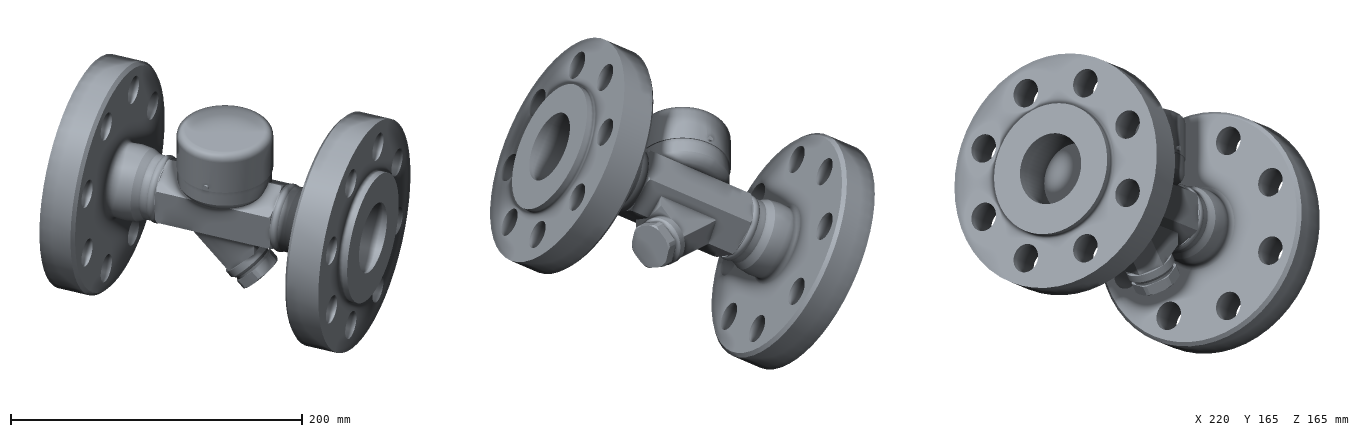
import cadquery as cq
import math


TOTAL_LENGTH = 220.0
FLANGE_DIAMETER = 165.0
FLANGE_THICKNESS = 25.5
FLANGE_CHAMFER = 2.5
RAISED_FACE_DIAMETER = 92.2
RAISED_FACE_HEIGHT = 6.4
RAISED_FACE_FILLET = 1.3
BOLT_COUNT = 8
BOLT_HOLE_DIAMETER = 20.0
BOLT_CIRCLE_DIAMETER = 127.0

BORE_DIAMETER = 50.0
BORE_DEPTH = 30.8

NECK_ROOT_RADIUS = 29.3
NECK_RADIUS = 26.5
NECK_BARREL_RADIUS = 26.8
NECK_SHOULDER_RADIUS = 25.7
PIPE_DIAMETER = 46.0
BEAD_RADIUS = 24.0
NECK_ROOT_LENGTH = 3.5
SHOULDER_STATION = 59.5
PIPE_OUTER_STATION = 54.0
PIPE_INNER_STATION = 48.6
BEAD_END_STATION = 43.3

BODY_LENGTH = 85.4
BODY_ACROSS_FLATS = 44.5
BODY_END_CHAMFER = 1.0

CAP_DIAMETER = 66.5
CAP_TOP = 61.5
CAP_STEP = 31.2
CAP_TOP_FILLET = 5.5
SEAT_DIAMETER = 65.0
SEAT_FILLET_START = 20.0
SEAT_BOTTOM = 13.5
SEAT_BOTTOM_RADIUS = 21.0
PIN_DIAMETER = 3.5
PIN_HEIGHT = 34.3
PIN_SPAN = 69.7

BRANCH_SLANT = math.radians(45)
BRANCH_OFFSET = 17.0
BRANCH_WIDTH = 30.8
BRANCH_KEEL_RADIUS = 16.5
BRANCH_KEEL_RISE = 8.8
BRANCH_TOP_LENGTH = 26.5
BRANCH_END = 37.6
BRANCH_X_LIMIT = 28.0
COLLAR_DIAMETER = 34.0
COLLAR_RIM = 43.0
COLLAR_END = 45.3
PLUG_NECK_DIAMETER = 29.0
NUT_START = 47.0
NUT_END = 54.8
NUT_ACROSS_FLATS = 30.0
NUT_DIAMETER = 33.0
NUT_CHAMFER = 1.0
NUT_CHAMFER_HEIGHT = 0.9

HALF_LENGTH = TOTAL_LENGTH / 2
HALF_BODY = BODY_LENGTH / 2
FLANGE_FRONT = HALF_LENGTH - RAISED_FACE_HEIGHT
FLANGE_BACK = FLANGE_FRONT - FLANGE_THICKNESS
DIAGONAL = math.sqrt(0.5)
BRANCH_AXIS = cq.Vector(math.cos(BRANCH_SLANT), 0, -math.sin(BRANCH_SLANT))
PLUG_SIDE = cq.selectors.DirectionMinMaxSelector(BRANCH_AXIS)


def hexagon_diameter(across_flats):
    """Corner-to-corner diameter of a regular hexagon."""
    return across_flats / math.cos(math.radians(30))


def make_pipe_end():
    """Flange and neck at the +X end, turned about X, with bolt holes and bore."""
    pipe_radius = PIPE_DIAMETER / 2
    flange_radius = FLANGE_DIAMETER / 2
    face_radius = RAISED_FACE_DIAMETER / 2
    neck_root = FLANGE_BACK - NECK_ROOT_LENGTH
    fillet_start = (FLANGE_FRONT, face_radius + RAISED_FACE_FILLET)
    fillet_end = (FLANGE_FRONT + RAISED_FACE_FILLET, face_radius)
    fillet_centre = (fillet_end[0], fillet_start[1])
    fillet_middle = (
        fillet_centre[0] - RAISED_FACE_FILLET * DIAGONAL,
        fillet_centre[1] - RAISED_FACE_FILLET * DIAGONAL,
    )
    root_middle = (
        FLANGE_BACK - NECK_ROOT_LENGTH * (1 - DIAGONAL),
        NECK_RADIUS + (NECK_ROOT_RADIUS - NECK_RADIUS) * (1 - DIAGONAL),
    )
    profile = (
        cq.Workplane("XY")
        .moveTo(HALF_BODY, 0)
        .lineTo(HALF_BODY, pipe_radius)
        .lineTo(BEAD_END_STATION, pipe_radius)
        .threePointArc(
            ((BEAD_END_STATION + PIPE_INNER_STATION) / 2, BEAD_RADIUS),
            (PIPE_INNER_STATION, pipe_radius),
        )
        .lineTo(PIPE_OUTER_STATION, pipe_radius)
        .lineTo(SHOULDER_STATION, NECK_SHOULDER_RADIUS)
        .threePointArc(
            ((SHOULDER_STATION + neck_root) / 2, NECK_BARREL_RADIUS),
            (neck_root, NECK_RADIUS),
        )
        .threePointArc(root_middle, (FLANGE_BACK, NECK_ROOT_RADIUS))
        .lineTo(FLANGE_BACK, flange_radius - FLANGE_CHAMFER)
        .lineTo(FLANGE_BACK + FLANGE_CHAMFER, flange_radius)
        .lineTo(FLANGE_FRONT, flange_radius)
        .lineTo(*fillet_start)
        .threePointArc(fillet_middle, fillet_end)
        .lineTo(HALF_LENGTH, face_radius)
        .lineTo(HALF_LENGTH, 0)
        .close()
    )
    turned = profile.revolve(360, (0, 0, 0), (1, 0, 0))
    bolt_holes = (
        cq.Workplane("YZ", origin=(FLANGE_BACK, 0, 0))
        .polarArray(BOLT_CIRCLE_DIAMETER / 2, 180 / BOLT_COUNT, 360, BOLT_COUNT)
        .circle(BOLT_HOLE_DIAMETER / 2)
        .extrude(FLANGE_THICKNESS)
    )
    bore = (
        cq.Workplane("YZ", origin=(HALF_LENGTH - BORE_DEPTH, 0, 0))
        .circle(BORE_DIAMETER / 2)
        .extrude(BORE_DEPTH)
    )
    return turned.cut(bolt_holes).cut(bore)


def make_body():
    """Hexagonal bar along X with turned chamfers on its end corners."""
    corner_diameter = hexagon_diameter(BODY_ACROSS_FLATS)
    bar_plane = cq.Workplane("YZ", origin=(-HALF_BODY, 0, 0))
    bar = bar_plane.transformed(rotate=(0, 0, 90)).polygon(6, corner_diameter).extrude(BODY_LENGTH)
    envelope = bar_plane.circle(corner_diameter / 2).extrude(BODY_LENGTH).edges().chamfer(BODY_END_CHAMFER)
    return bar.intersect(envelope)


def make_cap():
    """Round cap on its narrower seat, with a small pin on each side."""
    seat_radius = SEAT_DIAMETER / 2
    rise = SEAT_FILLET_START - SEAT_BOTTOM
    seat_middle = (
        SEAT_BOTTOM_RADIUS + (seat_radius - SEAT_BOTTOM_RADIUS) * DIAGONAL,
        SEAT_FILLET_START - rise * DIAGONAL,
    )
    seat = (
        cq.Workplane("XZ")
        .moveTo(0, SEAT_BOTTOM)
        .lineTo(SEAT_BOTTOM_RADIUS, SEAT_BOTTOM)
        .threePointArc(seat_middle, (seat_radius, SEAT_FILLET_START))
        .lineTo(seat_radius, CAP_STEP)
        .lineTo(0, CAP_STEP)
        .close()
        .revolve(360, (0, 0, 0), (0, 1, 0))
    )
    cover = (
        cq.Workplane("XY", origin=(0, 0, CAP_STEP))
        .circle(CAP_DIAMETER / 2)
        .extrude(CAP_TOP - CAP_STEP)
        .faces(">Z")
        .edges()
        .fillet(CAP_TOP_FILLET)
    )
    pins = (
        cq.Workplane("XZ", origin=(0, 0, PIN_HEIGHT))
        .circle(PIN_DIAMETER / 2)
        .extrude(PIN_SPAN / 2, both=True)
    )
    return seat.union(cover).union(pins)


def branch_plane(distance):
    """Plane across the branch axis; local x points up and to +X, local y along Y."""
    across = cq.Vector(math.sin(BRANCH_SLANT), 0, math.cos(BRANCH_SLANT))
    origin = BRANCH_AXIS * distance - across * BRANCH_OFFSET
    return cq.Workplane(cq.Plane(origin=origin, xDir=across, normal=BRANCH_AXIS))


def make_branch():
    """Keel-shaped strainer housing with its collar and hexagonal plug."""
    half_width = BRANCH_WIDTH / 2
    keel_edge = BRANCH_KEEL_RISE - BRANCH_KEEL_RADIUS
    housing = (
        branch_plane(0)
        .polyline(
            [
                (-BRANCH_KEEL_RADIUS, 0),
                (keel_edge, half_width),
                (BRANCH_TOP_LENGTH, half_width),
                (BRANCH_TOP_LENGTH, -half_width),
                (keel_edge, -half_width),
            ]
        )
        .close()
        .extrude(BRANCH_END)
    )
    limit = cq.Workplane("XY").box(TOTAL_LENGTH, BRANCH_WIDTH, TOTAL_LENGTH)
    limit = limit.translate((BRANCH_X_LIMIT - TOTAL_LENGTH / 2, 0, -TOTAL_LENGTH / 2))
    housing = housing.intersect(limit)

    collar = (
        branch_plane(BRANCH_END)
        .circle(COLLAR_DIAMETER / 2)
        .extrude(COLLAR_END - BRANCH_END)
        .faces(PLUG_SIDE)
        .edges()
        .chamfer(COLLAR_END - COLLAR_RIM)
    )
    return housing.union(collar).union(make_plug())


def make_plug():
    """Short round neck and a hexagon with rounded corners and a chamfered end."""
    nut_height = NUT_END - NUT_START
    neck = branch_plane(BRANCH_END).circle(PLUG_NECK_DIAMETER / 2).extrude(NUT_START - BRANCH_END)
    hexagon = branch_plane(NUT_START).polygon(6, hexagon_diameter(NUT_ACROSS_FLATS)).extrude(nut_height)
    envelope = (
        branch_plane(NUT_START)
        .circle(NUT_DIAMETER / 2)
        .extrude(nut_height)
        .faces(PLUG_SIDE)
        .edges()
        .chamfer(NUT_CHAMFER_HEIGHT, NUT_CHAMFER)
    )
    return neck.union(hexagon.intersect(envelope))


pipe_end = make_pipe_end()
result = (
    pipe_end.union(pipe_end.mirror("YZ"))
    .union(make_body())
    .union(make_cap())
    .union(make_branch())
)